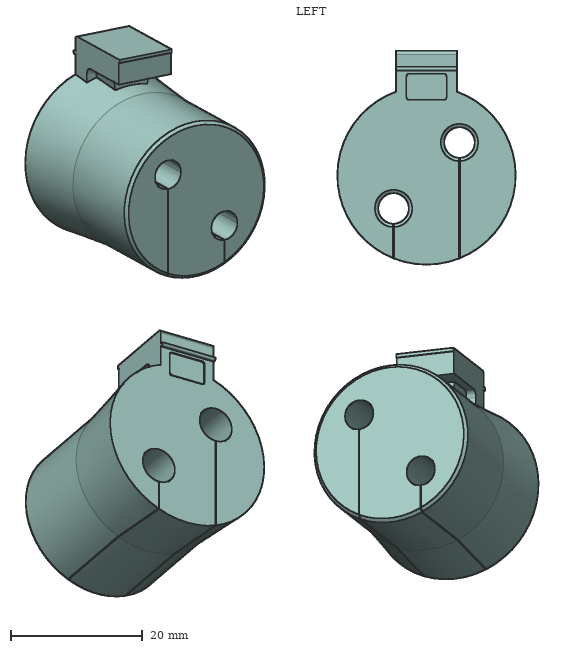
import cadquery as cq
import math

body_length = 27.8
flare_length = 12.2
front_radius = 13.55
body_radius = 12.5
rear_chamfer = 0.5

bore_offset = 5.0
bore_front_radius = 2.83
bore_rear_radius = 2.3
bore_front_length = body_length / 2
bore_cone_angle = 120
slit_width = 0.1

top_height = 18.95
lug_width = 9.3
stem_thickness = 3.4
arm_thickness = 4.05
arm_length = 12.75
lug_edge_radius = 0.55
inner_corner_radius = 1.0
lip_length = 0.23
lip_height = 0.55

gusset_end = 8.75
gusset_top_width = 6.5
gusset_draft = 10

bead_depth = 0.6
bead_height = 0.6
bead_drop = 2.45

label_width = 6.08
label_height = 3.97
label_drop = 3.5
label_corner_radius = 0.4
label_depth = 0.2


def make_body():
    profile = (
        cq.Workplane("XY")
        .moveTo(0, 0)
        .lineTo(0, front_radius)
        .lineTo(flare_length, body_radius)
        .lineTo(body_length - rear_chamfer, body_radius)
        .lineTo(body_length, body_radius - rear_chamfer)
        .lineTo(body_length, 0)
        .close()
    )
    return profile.revolve(360, (0, 0, 0), (1, 0, 0))


def make_lug():
    underside = top_height - arm_thickness
    lug = (
        cq.Workplane("XZ")
        .moveTo(0, 0)
        .lineTo(0, top_height)
        .lineTo(arm_length + lip_length, top_height)
        .lineTo(arm_length + lip_length, top_height - lip_height)
        .lineTo(arm_length, top_height - lip_height)
        .lineTo(arm_length, underside)
        .lineTo(stem_thickness, underside)
        .lineTo(stem_thickness, 0)
        .close()
        .extrude(lug_width / 2, both=True)
    )
    lug = lug.edges(cq.selectors.NearestToPointSelector((0, 0, top_height))).fillet(lug_edge_radius)
    inner_corner = cq.selectors.NearestToPointSelector((stem_thickness, 0, underside))
    return lug.edges(inner_corner).fillet(inner_corner_radius)


def make_gusset():
    top = top_height - arm_thickness
    root = front_radius / 2
    inset = (top - root) * math.tan(math.radians(gusset_draft))
    half_top = gusset_top_width / 2
    half_root = half_top - inset
    return (
        cq.Workplane("YZ")
        .moveTo(-half_top, top)
        .lineTo(half_top, top)
        .lineTo(half_root, root)
        .lineTo(-half_root, root)
        .close()
        .extrude(gusset_end)
    )


def make_bead():
    nose_radius = bead_height / 2
    top = top_height - bead_drop
    bead = (
        cq.Workplane("XZ")
        .moveTo(0, top)
        .lineTo(nose_radius - bead_depth, top)
        .threePointArc(
            (-bead_depth, top - nose_radius),
            (nose_radius - bead_depth, top - bead_height),
        )
        .lineTo(0, top - bead_height)
        .close()
    )
    return bead.extrude(lug_width / 2, both=True)


def make_label_recess():
    recess = cq.Workplane("XY").box(
        label_depth, label_width, label_height, centered=(False, True, False)
    )
    recess = recess.edges("|X").fillet(label_corner_radius)
    return recess.translate((0, 0, top_height - label_drop - label_height))


def make_bore(y, z):
    taper_length = (bore_front_radius - bore_rear_radius) / math.tan(math.radians(bore_cone_angle / 2))
    bore = (
        cq.Workplane("XY")
        .moveTo(0, 0)
        .lineTo(0, bore_front_radius)
        .lineTo(bore_front_length, bore_front_radius)
        .lineTo(bore_front_length + taper_length, bore_rear_radius)
        .lineTo(body_length, bore_rear_radius)
        .lineTo(body_length, 0)
        .close()
        .revolve(360, (0, 0, 0), (1, 0, 0))
    )
    slit = cq.Workplane("XY").box(
        body_length, slit_width, z + front_radius, centered=(False, True, False)
    )
    slit = slit.translate((0, 0, -z - front_radius))
    return bore.union(slit).translate((0, y, z))


result = make_body().union(make_lug()).union(make_gusset()).union(make_bead())
result = result.cut(make_label_recess())
for side in (1, -1):
    result = result.cut(make_bore(side * bore_offset, -side * bore_offset))